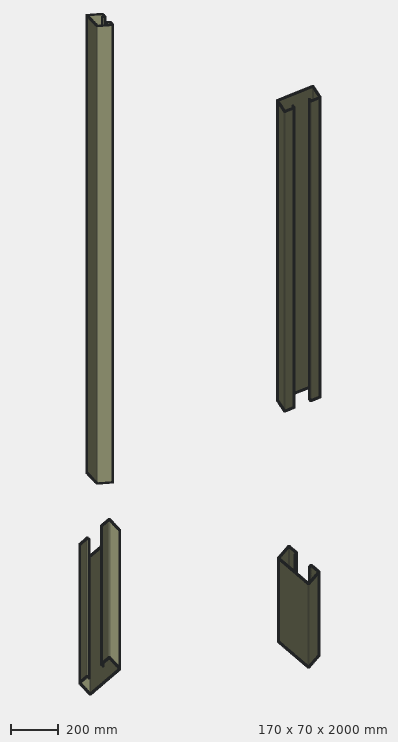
import cadquery as cq

WIDTH = 170.0
DEPTH = 70.0
LENGTH = 2000.0

WALL = 2.8
OUTER_RADIUS = 3.0
INNER_RADIUS = 0.5

MOUTH_WIDTH = 76.0
LIP_DEPTH = 14.0
LIP_OUTER_RADIUS = 2.0

BACK_Y = DEPTH / 2
FLANGE_INNER_Y = BACK_Y - WALL
LIP_FACE_X = MOUTH_WIDTH / 2
LIP_INNER_X = LIP_FACE_X + WALL


def bar(width, depth, center_x, back_y):
    """Full-length rectangular bar whose +Y face lies at back_y."""
    return (
        cq.Workplane("XY")
        .center(center_x, back_y - depth / 2)
        .rect(width, depth)
        .extrude(LENGTH)
    )


def make_tube():
    """Closed rectangular tube with rounded corners inside and out."""
    outer = bar(WIDTH, DEPTH, 0, BACK_Y).edges("|Z").fillet(OUTER_RADIUS)
    inner = bar(WIDTH - 2 * WALL, DEPTH - 2 * WALL, 0, FLANGE_INNER_Y)
    return outer.cut(inner.edges("|Z").fillet(INNER_RADIUS))


def open_mouth(body):
    """Cut the mouth through the +Y wall along the whole length."""
    return body.cut(bar(MOUTH_WIDTH, WALL, 0, BACK_Y))


def add_lip(body, side):
    """Turn a lip inward along the mouth edge on one side (-1 or +1)."""
    lip_center_x = side * (LIP_FACE_X + WALL / 2)
    body = body.union(bar(WALL, LIP_DEPTH, lip_center_x, BACK_Y))
    body = round_long_edge(body, side * LIP_FACE_X, BACK_Y, LIP_OUTER_RADIUS)
    return round_long_edge(body, side * LIP_INNER_X, FLANGE_INNER_Y, INNER_RADIUS)


def round_long_edge(body, x, y, radius):
    """Fillet the lengthwise edge that passes through (x, y)."""
    edge = body.edges("|Z").edges(cq.NearestToPointSelector((x, y, LENGTH / 2)))
    return edge.fillet(radius)


result = open_mouth(make_tube())
for side in (-1, 1):
    result = add_lip(result, side)